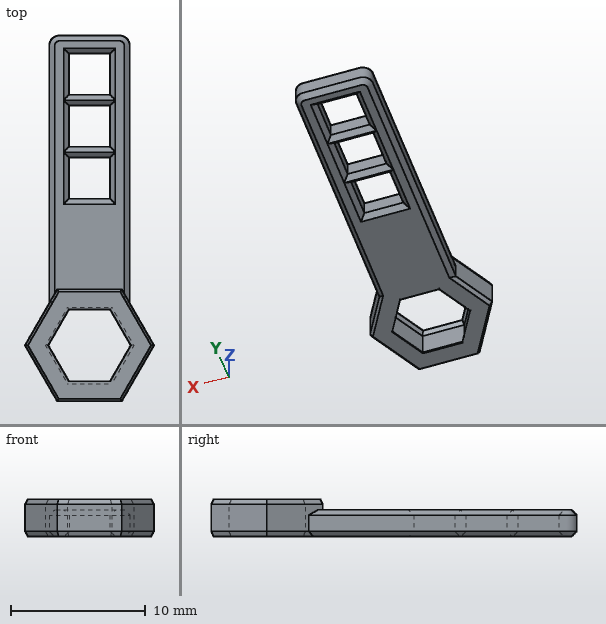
import cadquery as cq
import math

overall_length = 27.15
ring_corners = 9.58
ring_flats = ring_corners * math.cos(math.pi / 6)
ring_height = 2.8
ring_bevel_height = 0.4
ring_bevel_inset = 0.2

opening_flats = 5.3
bore_taper_height = 0.4
bore_taper_inset = 0.2

handle_width = 6.0
handle_thickness = 2.0
handle_bevel = 0.4
handle_corner_radius = 0.8
handle_end = overall_length - ring_flats / 2

window_count = 3
window_pitch = 3.85
window_bevel = 0.4
window_end_margin = 0.95


def hexagonal_slab(bottom, height, bottom_flats, top_flats):
    """Hexagonal slab with corners on X, given by its across-flats sizes."""
    corner_ratio = 1 / math.cos(math.pi / 6)
    return (
        cq.Workplane("XY", origin=(0, 0, bottom))
        .polygon(6, bottom_flats * corner_ratio)
        .workplane(offset=height)
        .polygon(6, top_flats * corner_ratio)
        .loft(ruled=True)
    )


def double_tapered_hexagon(middle_flats, end_flats, taper_height):
    """Ring-height hexagonal solid with matching tapers at both ends."""
    middle_height = ring_height - 2 * taper_height
    lower = hexagonal_slab(0, taper_height, end_flats, middle_flats)
    middle = hexagonal_slab(taper_height, middle_height, middle_flats, middle_flats)
    upper = hexagonal_slab(ring_height - taper_height, taper_height, middle_flats, end_flats)
    return lower.union(middle).union(upper)


def make_handle():
    """Bevelled bar from the ring centre to the rounded far end."""
    return (
        cq.Workplane("XY")
        .rect(handle_width, 2 * handle_end)
        .extrude(handle_thickness)
        .edges("|Z")
        .fillet(handle_corner_radius)
        .faces("<Z or >Z")
        .edges()
        .chamfer(handle_bevel)
        .intersect(
            cq.Workplane("XY")
            .rect(handle_width, handle_end)
            .extrude(handle_thickness)
            .translate((0, handle_end / 2, 0))
        )
    )


def make_window(centre_y):
    """Square through-cutter that flares out at both handle faces."""
    opening = window_pitch - 2 * window_bevel
    shaft = cq.Workplane("XY").rect(opening, opening).extrude(handle_thickness)
    lower_flare = (
        cq.Workplane("XY")
        .rect(window_pitch, window_pitch)
        .workplane(offset=window_bevel)
        .rect(opening, opening)
        .loft(ruled=True)
    )
    upper_flare = lower_flare.mirror("XY").translate((0, 0, handle_thickness))
    return shaft.union(lower_flare).union(upper_flare).translate((0, centre_y, 0))


ring = double_tapered_hexagon(ring_flats, ring_flats - 2 * ring_bevel_inset, ring_bevel_height)
bore = double_tapered_hexagon(opening_flats + 2 * bore_taper_inset, opening_flats, bore_taper_height)

result = make_handle().union(ring).cut(bore)
first_window_y = handle_end - window_end_margin - window_pitch / 2
for index in range(window_count):
    result = result.cut(make_window(first_window_y - index * window_pitch))